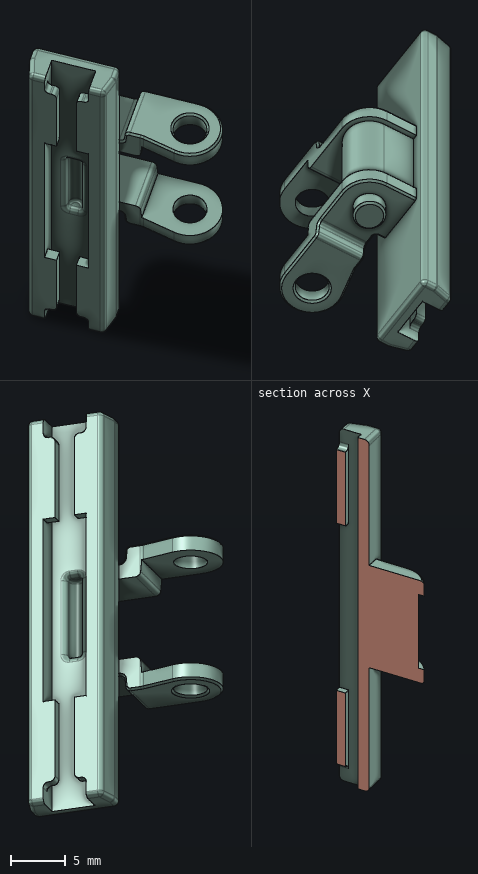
import cadquery as cq
import math

RAIL_LENGTH = 38.0
RAIL_WIDTH = 8.3
RAIL_DEPTH = 3.5
TAPER_HEIGHT = 2.0
TAPER_ANGLE = 15.0
RAIL_ROUND = 0.5
CHANNEL_WIDTH = 4.2
CHANNEL_DEPTH = 2.3

LIP_GAP = 1.9
LIP_HEIGHT = 1.0
LIP_INNER_Z = 9.0
LIP_OUTER_Z = 17.0
LIP_ROUND = 0.5

POCKET_WIDTH = 1.4
POCKET_LENGTH = 7.9
POCKET_DEPTH = 1.3
POCKET_END_ROUND = 0.3
POCKET_RIM_ROUND = 0.55

PIVOT_Y = 6.7
KNUCKLE_RADIUS = 2.5
ARM_RADIUS = 3.0
ARM_THICKNESS = 1.6
ARM_INNER_Z = 3.95
ROOT_Z = ARM_INNER_Z + ARM_THICKNESS
TIP_Z = ROOT_Z + ARM_THICKNESS
ROOT_RIGHT = KNUCKLE_RADIUS
ARM_UNDERSIDE = 4.5
ARM_CORNER_ROUND = 0.3
ARM_BEND_X = 5.85
ARM_BEND_RADIUS = 1.5
ARM_EDGE = 0.2
EYE_X = 9.8
EYE_HOLE_RADIUS = 1.55
PIN_RADIUS = 1.5
PIN_TILT = 5.0

STEP_OUTER_X = 4.1
STEP_INNER_X = 5.7
STEP_LEAN = 0.15
STEP_ROOT_ROUND = 0.5
STEP_TIP_ROUND = 0.5


def make_rail():
    half_width = RAIL_WIDTH / 2
    front_half = half_width - TAPER_HEIGHT * math.tan(math.radians(TAPER_ANGLE))
    rail = (
        cq.Workplane("XY", origin=(0, 0, -RAIL_LENGTH / 2))
        .polyline([
            (-front_half, 0),
            (front_half, 0),
            (half_width, TAPER_HEIGHT),
            (half_width, RAIL_DEPTH),
            (-half_width, RAIL_DEPTH),
            (-half_width, TAPER_HEIGHT),
        ])
        .close()
        .extrude(RAIL_LENGTH)
    )
    rail = rail.edges("|Z").fillet(RAIL_ROUND)
    rail = rail.faces("<Z or >Z").edges().fillet(RAIL_ROUND)
    channel = cq.Workplane("XY").box(
        CHANNEL_WIDTH, CHANNEL_DEPTH, RAIL_LENGTH, centered=(True, False, True)
    )
    return rail.cut(channel)


def make_lip(x_side, z_side):
    wall = x_side * CHANNEL_WIDTH / 2
    tip = x_side * LIP_GAP / 2
    rounded = x_side * LIP_ROUND
    inner = z_side * LIP_INNER_Z
    outer = z_side * LIP_OUTER_Z
    z_round = z_side * LIP_ROUND
    diagonal = LIP_ROUND * math.sqrt(0.5)
    x_short = x_side * (LIP_ROUND - diagonal)
    z_short = z_side * (LIP_ROUND - diagonal)
    return (
        cq.Workplane("XZ")
        .moveTo(wall, inner)
        .lineTo(tip, inner)
        .lineTo(tip, outer - z_round)
        .threePointArc((tip + x_short, outer - z_short), (tip + rounded, outer))
        .lineTo(wall - rounded, outer)
        .threePointArc((wall - x_short, outer + z_short), (wall, outer + z_round))
        .close()
        .extrude(-LIP_HEIGHT)
    )


def make_knuckle():
    return (
        cq.Workplane("XY", origin=(0, 0, -ARM_INNER_Z))
        .moveTo(-KNUCKLE_RADIUS, CHANNEL_DEPTH)
        .lineTo(KNUCKLE_RADIUS, CHANNEL_DEPTH)
        .lineTo(KNUCKLE_RADIUS, PIVOT_Y)
        .threePointArc((0, PIVOT_Y + KNUCKLE_RADIUS), (-KNUCKLE_RADIUS, PIVOT_Y))
        .close()
        .extrude(2 * ARM_INNER_Z)
    )


def make_arm_outline():
    """Arm seen along Z: root on the rail, straight back edge and a round eye."""
    back = PIVOT_Y + ARM_RADIUS
    diagonal = ARM_RADIUS * math.sqrt(0.5)
    corner_short = ARM_CORNER_ROUND * (1 - math.sqrt(0.5))

    run = EYE_X - ARM_BEND_X
    rise = PIVOT_Y - ARM_UNDERSIDE
    slope = math.asin(ARM_RADIUS / math.hypot(run, rise)) - math.atan2(rise, run)
    tangent_point = (EYE_X - ARM_RADIUS * math.sin(slope), PIVOT_Y - ARM_RADIUS * math.cos(slope))

    bend_reach = ARM_BEND_RADIUS * math.tan(slope / 2)
    bend_start = (ARM_BEND_X - bend_reach, ARM_UNDERSIDE)
    bend_end = (
        ARM_BEND_X + bend_reach * math.cos(slope),
        ARM_UNDERSIDE - bend_reach * math.sin(slope),
    )
    bend_middle = (
        bend_start[0] + ARM_BEND_RADIUS * math.sin(slope / 2),
        ARM_UNDERSIDE - ARM_BEND_RADIUS * (1 - math.cos(slope / 2)),
    )
    return (
        cq.Workplane("XY")
        .moveTo(-ARM_RADIUS, CHANNEL_DEPTH)
        .lineTo(ROOT_RIGHT, CHANNEL_DEPTH)
        .lineTo(ROOT_RIGHT, ARM_UNDERSIDE - ARM_CORNER_ROUND)
        .threePointArc(
            (ROOT_RIGHT + corner_short, ARM_UNDERSIDE - corner_short),
            (ROOT_RIGHT + ARM_CORNER_ROUND, ARM_UNDERSIDE),
        )
        .lineTo(*bend_start)
        .threePointArc(bend_middle, bend_end)
        .lineTo(*tangent_point)
        .threePointArc((EYE_X + ARM_RADIUS, PIVOT_Y), (EYE_X, back))
        .lineTo(0, back)
        .threePointArc((-diagonal, PIVOT_Y + diagonal), (-ARM_RADIUS, PIVOT_Y))
        .close()
        .extrude(TIP_Z)
    )


def make_arm_section():
    """Stepped strip seen along Y, swept over the full height of the arm."""
    back = PIVOT_Y + ARM_RADIUS
    left = -ARM_RADIUS
    right = EYE_X + ARM_RADIUS
    strip = (
        cq.Workplane("XZ")
        .polyline([
            (left, ARM_INNER_Z),
            (STEP_INNER_X, ARM_INNER_Z),
            (STEP_INNER_X + STEP_LEAN, ROOT_Z),
            (right, ROOT_Z),
            (right, TIP_Z),
            (STEP_OUTER_X + STEP_LEAN, TIP_Z),
            (STEP_OUTER_X, ROOT_Z),
            (left, ROOT_Z),
        ])
        .close()
        .extrude(-back)
    )

    def step_edge(x, z):
        return cq.selectors.NearestToPointSelector((x, back / 2, z))

    strip = strip.edges(step_edge(STEP_OUTER_X, ROOT_Z)).fillet(STEP_ROOT_ROUND)
    strip = strip.edges(step_edge(STEP_INNER_X, ARM_INNER_Z)).fillet(STEP_ROOT_ROUND)
    return strip.edges(step_edge(STEP_OUTER_X + STEP_LEAN, TIP_Z)).fillet(STEP_TIP_ROUND)


def outer_rim_edges(arm):
    """Edges bounding the faces that look outward (+Z), without the seams between those faces."""
    min_outward = 0.05
    outward_faces = [f for f in arm.faces().vals() if f.normalAt().z > min_outward]
    edges = [edge for face in outward_faces for edge in face.Edges()]
    return [e for e in edges if sum(e.isSame(other) for other in edges) == 1]


def make_pin():
    """Pivot pin whose chamfered end face slopes, reaching the arm tip height on its +X side."""
    face_radius = PIN_RADIUS - ARM_EDGE
    tilt = math.tan(math.radians(PIN_TILT))
    low_z = TIP_Z - (face_radius + PIN_RADIUS) * tilt
    high_z = TIP_Z + (PIN_RADIUS - face_radius) * tilt
    side_profile = (
        cq.Workplane("XZ", origin=(0, PIVOT_Y - PIN_RADIUS, 0))
        .polyline([
            (-PIN_RADIUS, ARM_INNER_Z),
            (PIN_RADIUS, ARM_INNER_Z),
            (PIN_RADIUS, high_z),
            (-PIN_RADIUS, low_z),
        ])
        .close()
        .extrude(-2 * PIN_RADIUS)
    )
    pin = (
        cq.Workplane("XY", origin=(0, PIVOT_Y, ARM_INNER_Z))
        .circle(PIN_RADIUS)
        .extrude(high_z - ARM_INNER_Z)
        .intersect(side_profile)
    )
    return pin.faces(">Z").chamfer(ARM_EDGE)


def make_arm():
    arm = make_arm_outline().intersect(make_arm_section())
    arm = arm.newObject(outer_rim_edges(arm)).chamfer(ARM_EDGE)
    eye_hole = (
        cq.Workplane("XY", origin=(EYE_X, PIVOT_Y, ROOT_Z))
        .circle(EYE_HOLE_RADIUS)
        .extrude(ARM_THICKNESS)
        .union(
            cq.Workplane("XY", origin=(EYE_X, PIVOT_Y, TIP_Z))
            .circle(EYE_HOLE_RADIUS + ARM_EDGE)
            .workplane(offset=-ARM_EDGE)
            .circle(EYE_HOLE_RADIUS)
            .loft()
        )
    )
    return arm.cut(eye_hole).union(make_pin())


def make_space_behind_rail():
    reach = EYE_X + ARM_RADIUS
    return cq.Workplane("XY", origin=(0, RAIL_DEPTH, 0)).box(
        2 * reach, PIVOT_Y + ARM_RADIUS, 2 * TIP_Z, centered=(True, False, True)
    )


def cut_pocket(body):
    half_width = POCKET_WIDTH / 2
    floor_y = CHANNEL_DEPTH + POCKET_DEPTH
    pocket = (
        cq.Workplane("XY", origin=(0, 0, -POCKET_LENGTH / 2))
        .moveTo(-half_width, CHANNEL_DEPTH)
        .lineTo(-half_width, floor_y - half_width)
        .threePointArc((0, floor_y), (half_width, floor_y - half_width))
        .lineTo(half_width, CHANNEL_DEPTH)
        .close()
        .extrude(POCKET_LENGTH)
    )
    pocket = pocket.faces("<Z or >Z").edges("not <Y").fillet(POCKET_END_ROUND)
    margin = 0.1
    rim = cq.selectors.BoxSelector(
        (-half_width - margin, CHANNEL_DEPTH - margin, -POCKET_LENGTH / 2 - margin),
        (half_width + margin, CHANNEL_DEPTH + margin, POCKET_LENGTH / 2 + margin),
        boundingbox=True,
    )
    return body.cut(pocket).edges(rim).fillet(POCKET_RIM_ROUND)


body = cut_pocket(make_rail().union(make_knuckle()))
for x_side in (-1, 1):
    for z_side in (-1, 1):
        body = body.union(make_lip(x_side, z_side))

upper_arm = make_arm().intersect(make_space_behind_rail())
result = body.union(upper_arm).union(upper_arm.mirror("XY"))